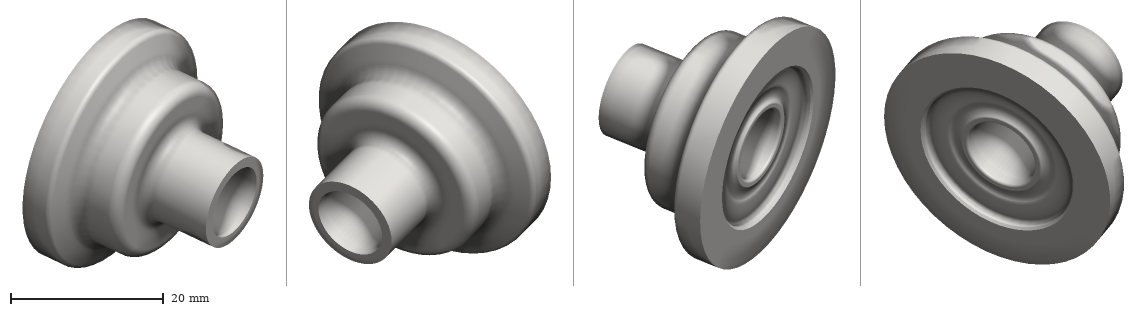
import cadquery as cq
import math

length = 22.0
flange_radius = 17.0
body_radius = 25.0 / 2
neck_radius = 13.0 / 2
shoulder_x = 12.0
rim_round_start = 3.5
rim_round = 0.85
flange_back_angle = math.radians(20)
root_fillet = 1.95
shoulder_round = 1.55
neck_fillet = 1.6

recess_radius = 22.4 / 2
recess_depth = 1.4
mouth_chamfer = 0.3
recess_fillet = 0.45

bore_radius = 10.0 / 2
groove_outer_radius = 8.43
groove_edge_round = 1.5
groove_edge_width = 0.4
lip_radius = 6.1
lip_edge_x = 1.2
groove_arc_radius = 1.7
lip_top_x = 1.05
lip_outer_round_width = 0.37
lip_inner_round = 0.37


def outer_profile(sketch):
    """Draw from the flange face to the far end, along the outside."""
    cos_a = math.cos(flange_back_angle)
    sin_a = math.sin(flange_back_angle)
    cone_start_x = rim_round_start + rim_round * cos_a
    cone_start_radius = flange_radius - rim_round * (1 - sin_a)
    cone_end_radius = body_radius + root_fillet * (1 - sin_a)
    cone_end_x = cone_start_x + (cone_start_radius - cone_end_radius) * math.tan(flange_back_angle)
    root_end_x = cone_end_x + root_fillet * cos_a
    return (
        sketch.lineTo(rim_round_start, flange_radius)
        .radiusArc((cone_start_x, cone_start_radius), rim_round)
        .lineTo(cone_end_x, cone_end_radius)
        .radiusArc((root_end_x, body_radius), -root_fillet)
        .lineTo(shoulder_x - shoulder_round, body_radius)
        .radiusArc((shoulder_x, body_radius - shoulder_round), shoulder_round)
        .lineTo(shoulder_x, neck_radius + neck_fillet)
        .radiusArc((shoulder_x + neck_fillet, neck_radius), -neck_fillet)
        .lineTo(length, neck_radius)
    )


def inner_profile(sketch):
    """Draw from the far end back to the flange face, along the bore and recess."""
    edge_drop = groove_edge_round - math.sqrt(groove_edge_round**2 - groove_edge_width**2)
    groove_edge = (recess_depth + edge_drop, groove_outer_radius - groove_edge_width)
    return (
        sketch.lineTo(length, bore_radius)
        .lineTo(lip_top_x + lip_inner_round, bore_radius)
        .radiusArc((lip_top_x, bore_radius + lip_inner_round), lip_inner_round)
        .lineTo(lip_top_x, lip_radius - lip_outer_round_width)
        .radiusArc((lip_edge_x, lip_radius), lip_outer_round_width)
        .radiusArc(groove_edge, -groove_arc_radius)
        .radiusArc((recess_depth, groove_outer_radius), groove_edge_round)
        .lineTo(recess_depth, recess_radius - recess_fillet)
        .radiusArc((recess_depth - recess_fillet, recess_radius), -recess_fillet)
        .lineTo(mouth_chamfer, recess_radius)
        .lineTo(0, recess_radius + mouth_chamfer)
    )


profile = cq.Workplane("XY").moveTo(0, recess_radius + mouth_chamfer).lineTo(0, flange_radius)
profile = inner_profile(outer_profile(profile)).close()
result = profile.revolve(360, (0, 0, 0), (1, 0, 0))